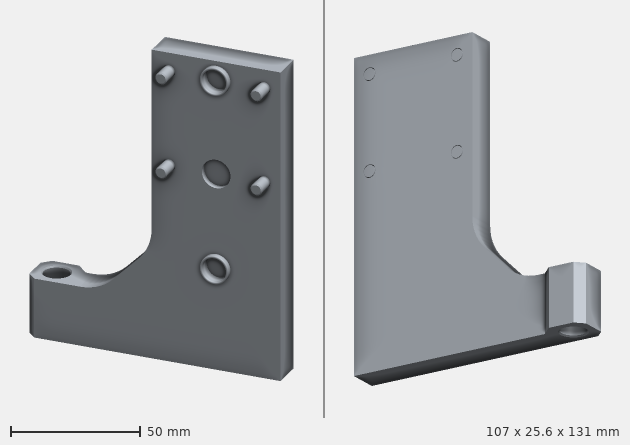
import cadquery as cq

TOTAL_LENGTH = 107.0
TOTAL_HEIGHT = 131.0
PLATE_WIDTH = 54.1
PLATE_THICKNESS = 13.0
ARM_HEIGHT = 25.0
BLEND_RADIUS = 20.0
BLEND_CORNER_HEIGHT = 46.8
PLATE_LEFT = TOTAL_LENGTH - PLATE_WIDTH
BLEND_CORNER_X = PLATE_LEFT - (BLEND_CORNER_HEIGHT - ARM_HEIGHT)

BLOCK_LENGTH = 18.3
BLOCK_DEPTH = 18.0
BLOCK_CHAMFER = 3.5
PIVOT_DIAMETER = 10.9
PIVOT_RIM_DIAMETER = 12.0
PIVOT_CHAMFER = (PIVOT_RIM_DIAMETER - PIVOT_DIAMETER) / 2

PITCH = 40.0
CENTER_X = PLATE_LEFT + PLATE_WIDTH / 2
TOP_ROW_INSET = 8.0
TOP_ROW_Z = TOTAL_HEIGHT - TOP_ROW_INSET
MIDDLE_ROW_Z = TOP_ROW_Z - PITCH
BOTTOM_ROW_Z = MIDDLE_ROW_Z - PITCH
PIN_POSITIONS = [
    (CENTER_X + side * PITCH / 2, z)
    for side in (-1, 1)
    for z in (TOP_ROW_Z, MIDDLE_ROW_Z)
]
SOCKET_POSITIONS = [(CENTER_X, z) for z in (TOP_ROW_Z, MIDDLE_ROW_Z, BOTTOM_ROW_Z)]
RING_POSITIONS = [(CENTER_X, z) for z in (TOP_ROW_Z, BOTTOM_ROW_Z)]

PIN_DIAMETER = 5.0
PIN_HOLE_DIAMETER = 5.5
PIN_PROJECTION = 7.6
PIN_CHAMFER = 0.5

RING_OUTER_DIAMETER = 12.0
RING_BORE_DIAMETER = 10.0
RING_PROJECTION = 2.4
SOCKET_DEPTH = 2.6


def cylinder_along_y(position, diameter, start_y, end_y):
    """Cylinder parallel to Y, centred on an (x, z) position."""
    x, z = position
    axis = cq.Plane(origin=(x, start_y, z), xDir=(1, 0, 0), normal=(0, 1, 0))
    return cq.Workplane(axis).circle(diameter / 2).extrude(end_y - start_y)


def make_plate():
    """L-shaped plate whose inner corner is a 45 degree slope with rounded ends."""
    outline = [
        (BLOCK_LENGTH / 2, 0),
        (TOTAL_LENGTH, 0),
        (TOTAL_LENGTH, TOTAL_HEIGHT),
        (PLATE_LEFT, TOTAL_HEIGHT),
        (PLATE_LEFT, BLEND_CORNER_HEIGHT),
        (BLEND_CORNER_X, ARM_HEIGHT),
        (BLOCK_LENGTH / 2, ARM_HEIGHT),
    ]
    plate = cq.Workplane("XZ").polyline(outline).close().extrude(-PLATE_THICKNESS)
    mid_y = PLATE_THICKNESS / 2
    slope_ends = [(BLEND_CORNER_X, mid_y, ARM_HEIGHT), (PLATE_LEFT, mid_y, BLEND_CORNER_HEIGHT)]
    for corner in slope_ends:
        plate = plate.edges(cq.selectors.NearestToPointSelector(corner)).fillet(BLEND_RADIUS)
    return plate


def make_pivot_block():
    """Block with cut corners; its last corner runs at 45 degrees into the plate back."""
    slope_start_x = BLOCK_LENGTH - BLOCK_CHAMFER
    slope_end_x = slope_start_x + BLOCK_DEPTH - PLATE_THICKNESS
    outline = [
        (BLOCK_CHAMFER, 0),
        (slope_end_x, 0),
        (slope_end_x, PLATE_THICKNESS),
        (slope_start_x, BLOCK_DEPTH),
        (BLOCK_CHAMFER, BLOCK_DEPTH),
        (0, BLOCK_DEPTH - BLOCK_CHAMFER),
        (0, BLOCK_CHAMFER),
    ]
    return cq.Workplane("XY").polyline(outline).close().extrude(ARM_HEIGHT)


def make_pivot_bore():
    """Cutter for the vertical through hole with a chamfer at both rims."""
    bore_radius = PIVOT_DIAMETER / 2
    rim_radius = PIVOT_RIM_DIAMETER / 2
    half_section = [
        (0, 0),
        (rim_radius, 0),
        (bore_radius, PIVOT_CHAMFER),
        (bore_radius, ARM_HEIGHT - PIVOT_CHAMFER),
        (rim_radius, ARM_HEIGHT),
        (0, ARM_HEIGHT),
    ]
    bore = cq.Workplane("XZ").polyline(half_section).close().revolve(360, (0, 0), (0, 1))
    return bore.translate((BLOCK_LENGTH / 2, BLOCK_DEPTH / 2, 0))


def make_bracket():
    """Plate and pivot block as one solid, with the pivot, pin and ring holes."""
    bracket = make_plate().union(make_pivot_block()).cut(make_pivot_bore())
    for position in PIN_POSITIONS:
        bracket = bracket.cut(cylinder_along_y(position, PIN_HOLE_DIAMETER, 0, PLATE_THICKNESS))
    for position in SOCKET_POSITIONS:
        bracket = bracket.cut(cylinder_along_y(position, RING_OUTER_DIAMETER, 0, SOCKET_DEPTH))
    return bracket


def make_pin(position):
    """Pin through the plate, flush at the back, with a chamfered free end."""
    pin = cylinder_along_y(position, PIN_DIAMETER, -PIN_PROJECTION, PLATE_THICKNESS)
    return pin.faces("<Y").chamfer(PIN_CHAMFER)


def make_ring(position):
    """Locating ring seated on its socket floor, with a fully rounded free end."""
    x, z = position
    outer_radius = RING_OUTER_DIAMETER / 2
    bore_radius = RING_BORE_DIAMETER / 2
    round_radius = (outer_radius - bore_radius) / 2
    round_start_y = round_radius - RING_PROJECTION
    section = (
        cq.Workplane("XY")
        .moveTo(bore_radius, SOCKET_DEPTH)
        .lineTo(outer_radius, SOCKET_DEPTH)
        .lineTo(outer_radius, round_start_y)
        .threePointArc((bore_radius + round_radius, -RING_PROJECTION), (bore_radius, round_start_y))
        .close()
    )
    return section.revolve(360, (0, 0), (0, 1)).translate((x, 0, z))


bracket = make_bracket()
pins = [make_pin(position) for position in PIN_POSITIONS]
rings = [make_ring(position) for position in RING_POSITIONS]

result = cq.Compound.makeCompound(
    [bracket.val()] + [pin.val() for pin in pins] + [ring.val() for ring in rings]
)